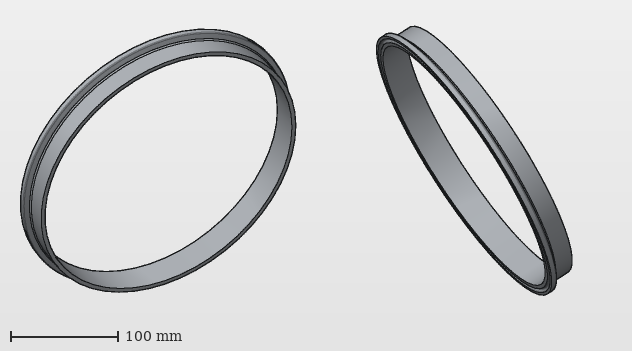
import cadquery as cq
import math

length = 28.0
flange_radius = 143.0
tube_radius = 136.5
bore_radius = 132.2

rim_width = 5.7
back_angle = 20.0
rim_fillet = 1.1
neck_fillet = 1.7

groove_inner_radius = 136.0
groove_outer_radius = 140.2
groove_depth = 2.3
groove_flank_angle = 20.0

axis_start = (0, 0, 0)
axis_end = (1, 0, 0)


def ring_body():
    """Tube and flange, revolved from one half section."""
    slope_run = (flange_radius - tube_radius) * math.tan(math.radians(back_angle))
    neck_x = rim_width + slope_run
    body = (
        cq.Workplane("XY")
        .moveTo(0, bore_radius)
        .lineTo(0, flange_radius)
        .lineTo(rim_width, flange_radius)
        .lineTo(neck_x, tube_radius)
        .lineTo(length, tube_radius)
        .lineTo(length, bore_radius)
        .close()
        .revolve(360, axis_start, axis_end)
    )
    body = round_circle_edge(body, rim_width, flange_radius, rim_fillet)
    return round_circle_edge(body, neck_x, tube_radius, neck_fillet)


def round_circle_edge(body, x, radius, fillet_radius):
    """Fillet the circular edge of the given radius at position x."""
    margin = 0.03
    reach = radius + margin
    circle_box = cq.selectors.BoxSelector(
        (x - margin, -reach, -reach), (x + margin, reach, reach), boundingbox=True
    )
    return body.edges(circle_box).edges("%CIRCLE").fillet(fillet_radius)


def gasket_groove():
    """Ring to remove from the sealing face: sloped flanks tangent to a round bottom."""
    flank = math.radians(groove_flank_angle)
    middle_radius = (groove_inner_radius + groove_outer_radius) / 2
    half_width = (groove_outer_radius - groove_inner_radius) / 2

    bottom_radius = (half_width * math.cos(flank) - groove_depth * math.sin(flank)) / (1 - math.sin(flank))
    tangent_x = groove_depth - bottom_radius * (1 - math.sin(flank))
    tangent_offset = bottom_radius * math.cos(flank)
    return (
        cq.Workplane("XY")
        .moveTo(0, groove_inner_radius)
        .lineTo(tangent_x, middle_radius - tangent_offset)
        .threePointArc((groove_depth, middle_radius), (tangent_x, middle_radius + tangent_offset))
        .lineTo(0, groove_outer_radius)
        .close()
        .revolve(360, axis_start, axis_end)
    )


result = ring_body().cut(gasket_groove())